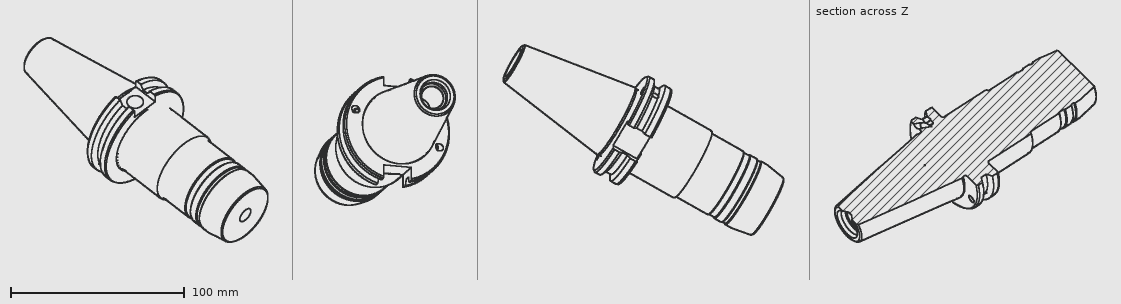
import cadquery as cq
import math

LENGTH = 169.8

TAPER_LENGTH = 68.5
GAUGE_DIAMETER = 44.5
TAPER_RATIO = 7 / 24
END_BREAK = 0.8

NECK_DIAMETER = 43.7
NECK_CONE_LENGTH = 1.2
NECK_FILLET = 0.7

FLANGE_START = 71.5
FLANGE_END = 87.5
FLANGE_DIAMETER = 63.4
FLANGE_CHAMFER_LENGTH = 1.0
FRONT_CHAMFER_DEPTH = 0.8
REAR_CHAMFER_DEPTH = 0.3
GROOVE_CENTER = 79.3
GROOVE_DIAMETER = 56.7
GROOVE_FLOOR_WIDTH = 3.5
GROOVE_WALL_ANGLE = 29

SLOT_WIDTH = 16.6
TOP_SLOT_HEIGHT = 25.0
BOTTOM_SLOT_HEIGHT = 22.8
SLOT_DIMPLE_DIAMETER = 9.5

DRILL_POINT_ANGLE = 120

CHANNEL_COUNT = 2
CHANNEL_ANGLE = 20
CHANNEL_TILT = 30
CHANNEL_DIAMETER = 3.2
CHANNEL_RECESS_DIAMETER = 4.0
CHANNEL_RECESS_DEPTH = 3.2
CHANNEL_LEAD_IN = 1.7
CHANNEL_CIRCLE_RADIUS = 27.0

BODY_DIAMETER = 44.5
BODY_FILLET = 0.8
SHOULDER_START = 118.9
SHOULDER_CHAMFER = 1.0
NOSE_DIAMETER = 42.0
SHOULDER_FILLET = 1.0

RING_DIAMETER = 41.0
RING_GROOVES = [(141.5, 146.0), (150.5, 153.4)]
RING_WALL_LENGTH = 0.5
TIP_START = 157.5
TIP_ANGLE = 9.5
TIP_CHAMFER = 0.7

THROUGH_DIAMETER = 8.8
THREAD_DIAMETER = 13.0
THREAD_MOUTH_DIAMETER = 13.5
THREAD_DEPTH = 30.5
PILOT_DIAMETER = 16.3
PILOT_DEPTH = 5.1
MOUTH_DIAMETER = 18.3
MOUTH_CONE_LENGTH = 2.2

flange_radius = FLANGE_DIAMETER / 2
flange_middle = (FLANGE_START + FLANGE_END) / 2
small_end_radius = (GAUGE_DIAMETER - TAPER_LENGTH * TAPER_RATIO) / 2
body_radius = BODY_DIAMETER / 2
nose_radius = NOSE_DIAMETER / 2
shoulder_end = SHOULDER_START + SHOULDER_CHAMFER
tip_radius = nose_radius - (LENGTH - TIP_CHAMFER - TIP_START) * math.tan(math.radians(TIP_ANGLE))


def revolved(outline):
    """Turn a closed outline, drawn as (x, radius), about the X axis."""
    return outline.close().revolve(360, (0, 0, 0), (1, 0, 0))


def turned_body():
    outline = (
        cq.Workplane("XY")
        .moveTo(0, 0)
        .lineTo(0, small_end_radius - END_BREAK)
        .lineTo(END_BREAK, small_end_radius + END_BREAK * TAPER_RATIO / 2)
        .lineTo(TAPER_LENGTH, GAUGE_DIAMETER / 2)
        .lineTo(TAPER_LENGTH + NECK_CONE_LENGTH, NECK_DIAMETER / 2)
        .lineTo(FLANGE_START - NECK_FILLET, NECK_DIAMETER / 2)
        .radiusArc((FLANGE_START, NECK_DIAMETER / 2 + NECK_FILLET), -NECK_FILLET)
        .lineTo(FLANGE_START, flange_radius - FRONT_CHAMFER_DEPTH)
        .lineTo(FLANGE_START + FLANGE_CHAMFER_LENGTH, flange_radius)
        .lineTo(FLANGE_END - FLANGE_CHAMFER_LENGTH, flange_radius)
        .lineTo(FLANGE_END, flange_radius - REAR_CHAMFER_DEPTH)
        .lineTo(FLANGE_END, body_radius + BODY_FILLET)
        .radiusArc((FLANGE_END + BODY_FILLET, body_radius), -BODY_FILLET)
        .lineTo(SHOULDER_START, body_radius)
        .lineTo(shoulder_end, nose_radius + SHOULDER_FILLET)
        .radiusArc((shoulder_end + SHOULDER_FILLET, nose_radius), -SHOULDER_FILLET)
        .lineTo(TIP_START, nose_radius)
        .lineTo(LENGTH - TIP_CHAMFER, tip_radius)
        .lineTo(LENGTH, tip_radius - TIP_CHAMFER)
        .lineTo(LENGTH, 0)
    )
    return revolved(outline)


def ring_cut(left, right, wall_length, floor_radius, top_radius):
    """Ring groove with sloped walls; left and right are its edges at the top radius."""
    clear_radius = 2 * top_radius
    outline = (
        cq.Workplane("XY")
        .moveTo(left, clear_radius)
        .lineTo(left, top_radius)
        .lineTo(left + wall_length, floor_radius)
        .lineTo(right - wall_length, floor_radius)
        .lineTo(right, top_radius)
        .lineTo(right, clear_radius)
    )
    return revolved(outline)


def gripper_groove():
    floor_radius = GROOVE_DIAMETER / 2
    wall_length = (flange_radius - floor_radius) * math.tan(math.radians(GROOVE_WALL_ANGLE))
    half_width = GROOVE_FLOOR_WIDTH / 2 + wall_length
    left = GROOVE_CENTER - half_width
    right = GROOVE_CENTER + half_width
    return ring_cut(left, right, wall_length, floor_radius, flange_radius)


def drive_slot(height, side):
    """Slot through the flange beyond the given height; side is +1 for top, -1 for bottom."""
    slot_depth = flange_radius - height
    slot = cq.Workplane("XY").box(FLANGE_END - FLANGE_START, SLOT_WIDTH, slot_depth)
    return slot.translate((flange_middle, 0, side * (height + slot_depth / 2)))


def drill_point_length(radial_step):
    """Length over which a drill point narrows by the given amount of radius."""
    return radial_step / math.tan(math.radians(DRILL_POINT_ANGLE / 2))


def slot_dimple():
    """Conical drill-point dimple in the floor of the top slot."""
    radius = SLOT_DIMPLE_DIAMETER / 2
    depth = drill_point_length(radius)
    top = cq.Vector(flange_middle, 0, TOP_SLOT_HEIGHT)
    return cq.Workplane(cq.Solid.makeCone(radius, 0, depth, top, cq.Vector(0, 0, -1)))


def recessed_hole(mouth, direction, depth):
    """Narrow channel to the given depth with a wider recess at its mouth."""
    lead_in = direction * CHANNEL_LEAD_IN
    channel = cq.Solid.makeCylinder(CHANNEL_DIAMETER / 2, depth, mouth, direction)
    recess_length = CHANNEL_LEAD_IN + CHANNEL_RECESS_DEPTH
    recess = cq.Solid.makeCylinder(CHANNEL_RECESS_DIAMETER / 2, recess_length, mouth - lead_in, direction)
    return cq.Workplane(channel).union(cq.Workplane(recess))


def coolant_channel(angle):
    """Inclined hole from the flange face, met by a radial hole from the groove floor."""
    tilt = math.radians(CHANNEL_TILT)
    run = GROOVE_CENTER - FLANGE_START
    meeting_radius = CHANNEL_CIRCLE_RADIUS - run * math.tan(tilt)
    groove_floor = GROOVE_DIAMETER / 2
    inclined_hole = recessed_hole(
        cq.Vector(FLANGE_START, CHANNEL_CIRCLE_RADIUS, 0),
        cq.Vector(math.cos(tilt), -math.sin(tilt), 0),
        run / math.cos(tilt),
    )
    radial_hole = recessed_hole(
        cq.Vector(GROOVE_CENTER, groove_floor, 0),
        cq.Vector(0, -1, 0),
        groove_floor - meeting_radius,
    )
    return inclined_hole.union(radial_hole).rotate((0, 0, 0), (1, 0, 0), angle)


def stepped_bore():
    thread_break = (THREAD_MOUTH_DIAMETER - THREAD_DIAMETER) / 2
    point_length = drill_point_length((THREAD_DIAMETER - THROUGH_DIAMETER) / 2)
    outline = (
        cq.Workplane("XY")
        .moveTo(0, 0)
        .lineTo(0, MOUTH_DIAMETER / 2)
        .lineTo(MOUTH_CONE_LENGTH, PILOT_DIAMETER / 2)
        .lineTo(PILOT_DEPTH, PILOT_DIAMETER / 2)
        .lineTo(PILOT_DEPTH, THREAD_MOUTH_DIAMETER / 2)
        .lineTo(PILOT_DEPTH + thread_break, THREAD_DIAMETER / 2)
        .lineTo(THREAD_DEPTH, THREAD_DIAMETER / 2)
        .lineTo(THREAD_DEPTH + point_length, THROUGH_DIAMETER / 2)
        .lineTo(LENGTH, THROUGH_DIAMETER / 2)
        .lineTo(LENGTH, 0)
    )
    return revolved(outline)


result = turned_body().cut(gripper_groove())
for ring_start, ring_end in RING_GROOVES:
    ring = ring_cut(ring_start, ring_end, RING_WALL_LENGTH, RING_DIAMETER / 2, nose_radius)
    result = result.cut(ring)
result = result.cut(drive_slot(TOP_SLOT_HEIGHT, 1)).cut(drive_slot(BOTTOM_SLOT_HEIGHT, -1))
result = result.cut(slot_dimple())
for index in range(CHANNEL_COUNT):
    result = result.cut(coolant_channel(CHANNEL_ANGLE + index * 360 / CHANNEL_COUNT))
result = result.cut(stepped_bore())